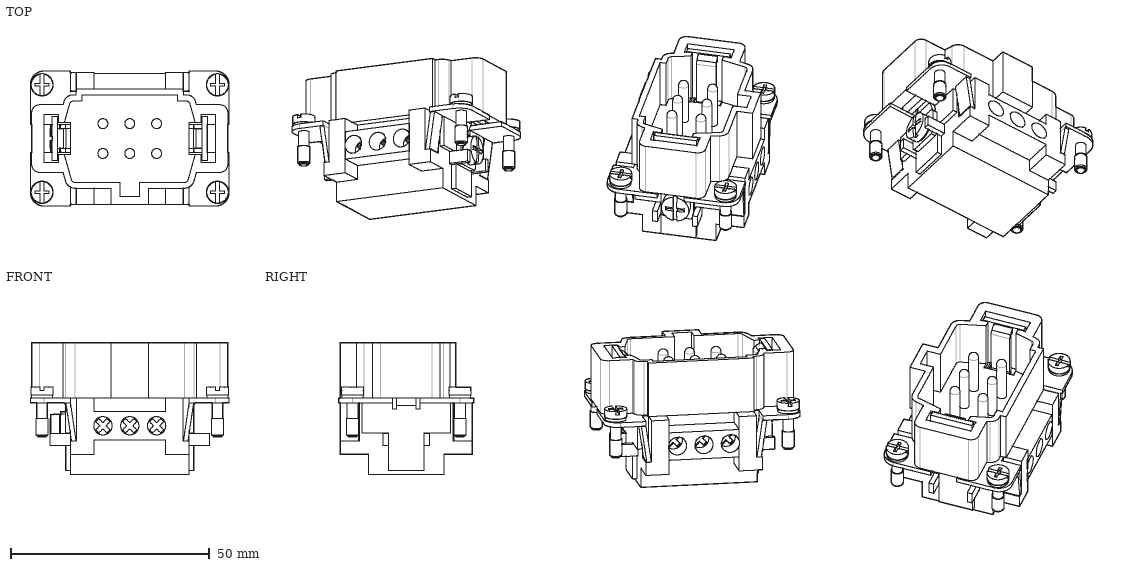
import cadquery as cq
import math


CUT = 0.5
CORNER_TOLERANCE = 0.005

flange_length = 50.0
flange_width = 34.0
flange_thickness = 1.2
flange_corner_radius = 3.5
end_notch_half = 3.5

body_half_length = 14.9
body_half_width = 16.6
core_half_width = 9.5
body_bottom = -19.2
wing_bottom = -14.15
rear_setback = 0.2
relief_half_length = 8.95
upper_relief_floor = -3.4
lower_relief_top = -10.55

pad_face_x = 16.1
pad_half_width = 11.15
pad_bottom = -8.75
stem_half_width = 4.5
stem_bottom = -18.25
prong_tip_x = 20.05
prong_outer_y = 5.8
prong_top = -8.85
prong_bottom = -11.95
foot_recess_bottom = -2.75

pocket_inner_x = 13.4
pocket_inner_y = 11.8
pocket_bottom = -10.75
leg_inner_y = 12.0
leg_outer_y = 16.55
leg_width_x = 1.15
leg_tip_x = 13.5

shell_height = 13.95
floor_height = 1.05
end_half_length = 24.65
end_half_width = 8.5
end_corner_radius = 2.0
shoulder_x = 16.75
side_slope = 0.28
front_y = 12.5
front_corner_radius = 2.5
rear_shoulder_y = 10.95
rear_corner_radius = 2.25
rear_ledge_half_length = 13.5
key_half_length = 4.65

cavity_end_x = 16.45
cavity_end_y = 4.0
cavity_front_y = 11.05
cavity_rear_y = 9.4
cavity_corner_radius = 1.0
ledge_pocket_half_length = 12.0
ledge_pocket_y = 10.95
key_slot_half_length = 2.5
key_slot_y = 14.6

slot_inner_x = 17.95
slot_outer_x = 21.5
slot_half_width = 6.0
clip_inner_x = 18.15
clip_outer_x = 19.5
clip_half_width = 5.5
leaf_half_width = 2.5
leaf_inner_x = 16.0
leaf_thickness = 1.0
hook_base_z = 11.95
hook_shoulder_x = 16.6
hook_shoulder_z = 12.8
hook_top = 13.65
hook_bulge = 0.15
hook_outer_z = 12.45
foot_bend_z = -1.9
foot_slope = 0.45

pole_pitch = 6.75
pin_y = 3.75
pin_radius = 1.25
pin_top = 12.9
terminal_radius = 2.3
terminal_z = -6.95
terminal_depth = 6.0
terminal_slot_width = 1.1
terminal_slot_length = 4.0
terminal_slot_depth = 0.75

screw_x = 22.05
screw_y = 13.5
washer_radius = 2.65
washer_height = 0.75
head_radius = 2.8
head_top = 2.75
shank_radius = 1.35
thread_radius = 1.55
thread_top = -5.1
thread_bottom = -9.25
tip_radius = 1.05
tip_bottom = -9.8
thread_chamfer = 0.25
long_slot_width = 0.9
short_slot_width = 0.7
short_slot_length = 3.5
slot_depth = 0.85

earth_z = -7.6
clamp_size = 8.4
clamp_chamfer = 0.6
clamp_face_x = 17.35
earth_seat_x = 17.6
earth_rim_x = 19.85
earth_head_x = 20.1
earth_head_radius = 3.55
earth_neck_radius = 3.25
earth_slot_width = 0.95
earth_short_slot_length = 4.8


def box(x0, x1, y0, y1, z0, z1):
    return cq.Workplane("XY").box(x1 - x0, y1 - y0, z1 - z0, centered=False).translate((x0, y0, z0))


def both_ends(solid):
    return solid.union(solid.mirror("YZ"))


def both_sides(solid):
    return solid.union(solid.mirror("XZ"))


def mirrored_outline(half):
    """Closed outline from its +X half, listed from front to rear."""
    return half + [(-x, y) for x, y in reversed(half)]


def prism(points, bottom, top):
    return cq.Workplane("XY").workplane(offset=bottom).polyline(points).close().extrude(top - bottom)


def round_edges(solid, corners, radius):
    """Fillet the vertical edges that stand at the given (|x|, y) corners."""
    picked = []
    for edge in solid.edges("|Z").vals():
        center = edge.Center()
        if any(math.hypot(abs(center.x) - x, center.y - y) < CORNER_TOLERANCE for x, y in corners):
            picked.append(edge)
    return solid.newObject(picked).fillet(radius)


def make_flange():
    plate = cq.Workplane("XY").box(flange_length, flange_width, flange_thickness)
    plate = plate.edges("|Z").fillet(flange_corner_radius)
    plate = plate.translate((0, 0, -flange_thickness / 2))
    half_length = flange_length / 2 + CUT
    plate = plate.cut(both_ends(box(
        body_half_length, half_length, -end_notch_half, end_notch_half, -flange_thickness - CUT, CUT)))
    return plate.cut(box(
        -body_half_length, body_half_length, -flange_width, flange_width, -flange_thickness - CUT, CUT))


def make_body():
    body = box(-body_half_length, body_half_length, -body_half_width, body_half_width, wing_bottom, 0)
    body = body.union(box(
        -body_half_length, body_half_length, -core_half_width, core_half_width, body_bottom, 0))
    for z0, z1 in ((upper_relief_floor, 0), (wing_bottom, lower_relief_top)):
        body = body.cut(both_sides(box(
            -relief_half_length, relief_half_length, core_half_width, body_half_width, z0, z1)))
    body = body.cut(box(
        -relief_half_length, relief_half_length, body_half_width - rear_setback, body_half_width,
        wing_bottom, 0))
    pocket = box(
        pocket_inner_x, body_half_length, pocket_inner_y, body_half_width, pocket_bottom, 0)
    return body.cut(both_ends(both_sides(pocket)))


def make_end_pads():
    pad = box(body_half_length, pad_face_x, -pad_half_width, pad_half_width, pad_bottom, 0)
    pad = pad.union(box(
        body_half_length, pad_face_x, -stem_half_width, stem_half_width, stem_bottom, 0))
    pad = pad.cut(box(
        body_half_length, pad_face_x, -end_notch_half, end_notch_half, foot_recess_bottom, 0))
    prong = box(body_half_length, prong_tip_x, stem_half_width, prong_outer_y, prong_bottom, prong_top)
    return both_ends(pad.union(both_sides(prong)))


def make_legs():
    """Flange strips bent down and inward beside the four body corners."""
    leg = (
        cq.Workplane("XZ")
        .polyline([
            (body_half_length, 0), (body_half_length + leg_width_x, 0),
            (body_half_length + leg_width_x, -flange_thickness),
            (leg_tip_x + leg_width_x, pocket_bottom), (leg_tip_x, pocket_bottom),
            (body_half_length, -flange_thickness),
        ])
        .close()
        .extrude(-(leg_outer_y - leg_inner_y))
        .translate((0, leg_inner_y, 0))
    )
    return both_ends(both_sides(leg))


def make_shell():
    front_corner = (shoulder_x - side_slope * (front_y - end_half_width), -front_y)
    rear_corner = (shoulder_x - side_slope * (rear_shoulder_y - end_half_width), rear_shoulder_y)
    end_corners = [(end_half_length, -end_half_width), (end_half_length, end_half_width)]
    outline = mirrored_outline([
        (key_half_length, -body_half_width), (key_half_length, -front_y), front_corner,
        (shoulder_x, -end_half_width), *end_corners, (shoulder_x, end_half_width), rear_corner,
        (rear_ledge_half_length, rear_shoulder_y), (rear_ledge_half_length, front_y),
    ])
    shell = prism(outline, 0, shell_height)
    shell = round_edges(shell, end_corners, end_corner_radius)
    shell = round_edges(shell, [front_corner], front_corner_radius)
    return round_edges(shell, [rear_corner], rear_corner_radius)


def make_cavity():
    front_corner = (cavity_end_x - side_slope * (cavity_front_y - cavity_end_y), -cavity_front_y)
    rear_corner = (cavity_end_x - side_slope * (cavity_rear_y - cavity_end_y), cavity_rear_y)
    outline = mirrored_outline([
        (key_slot_half_length, -key_slot_y), (key_slot_half_length, -cavity_front_y), front_corner,
        (cavity_end_x, -cavity_end_y), (cavity_end_x, cavity_end_y), rear_corner,
        (ledge_pocket_half_length, cavity_rear_y), (ledge_pocket_half_length, ledge_pocket_y),
    ])
    cavity = prism(outline, floor_height, shell_height + CUT)
    return round_edges(cavity, [front_corner, rear_corner], cavity_corner_radius)


def make_end_slots():
    top = shell_height + CUT
    slot = box(slot_inner_x, slot_outer_x, -slot_half_width, slot_half_width, 0, top)
    channel = box(body_half_length, slot_inner_x, -cavity_end_y, cavity_end_y, 0, top)
    return both_ends(slot.union(channel))


def make_clips():
    """Upright latch plate joined by a hook to a spring leaf, whose slanted foot sits in the end pad."""
    plate = box(clip_inner_x, clip_outer_x, -clip_half_width, clip_half_width, 0, shell_height)
    leaf_outer_x = leaf_inner_x + leaf_thickness
    foot_rise_inner = (leaf_inner_x - body_half_length) / foot_slope
    foot_rise_outer = (leaf_outer_x - pad_face_x) / foot_slope
    leaf = (
        cq.Workplane("XZ")
        .moveTo(body_half_length, foot_recess_bottom)
        .lineTo(body_half_length, foot_bend_z)
        .lineTo(leaf_inner_x, foot_bend_z + foot_rise_inner)
        .lineTo(leaf_inner_x, hook_base_z)
        .sagittaArc((hook_shoulder_x, hook_shoulder_z), hook_bulge)
        .sagittaArc((clip_inner_x, hook_top), hook_bulge)
        .lineTo(clip_inner_x, hook_outer_z)
        .lineTo(leaf_outer_x, hook_outer_z)
        .lineTo(leaf_outer_x, foot_bend_z + foot_rise_outer)
        .lineTo(pad_face_x, foot_bend_z)
        .lineTo(pad_face_x, foot_recess_bottom)
        .close()
        .extrude(leaf_half_width, both=True)
    )
    return both_ends(plate.union(leaf))


def make_pins():
    pin = cq.Workplane("XY").circle(pin_radius).extrude(pin_top - pin_radius)
    pin = pin.union(cq.Workplane("XY").sphere(pin_radius).translate((0, 0, pin_top - pin_radius)))
    pins = cq.Workplane("XY")
    for column in (-1, 0, 1):
        for y in (-pin_y, pin_y):
            pins = pins.add(pin.translate((column * pole_pitch, y, 0)))
    return pins.combine()


def make_terminal_holes():
    """Blind wire-screw holes on both long sides, with crossed driver slots at the bottom."""
    hole = cq.Workplane("XZ").circle(terminal_radius).extrude(terminal_depth)
    for angle in (45, 135):
        driver_slot = (
            cq.Workplane("XZ")
            .rect(terminal_slot_length, terminal_slot_width)
            .extrude(-terminal_slot_depth)
            .rotate((0, 0, 0), (0, 1, 0), angle)
        )
        hole = hole.union(driver_slot)
    hole_bottom_y = terminal_depth - body_half_width
    holes = cq.Workplane("XY")
    for column in (-1, 0, 1):
        holes = holes.add(hole.translate((column * pole_pitch, hole_bottom_y, terminal_z)))
    return both_sides(holes.combine())


def make_flange_screws():
    screw = (
        cq.Workplane("XZ")
        .polyline([
            (0, head_top), (head_radius, head_top), (head_radius, washer_height),
            (washer_radius, washer_height), (washer_radius, 0), (shank_radius, 0),
            (shank_radius, thread_top), (thread_radius, thread_top),
            (thread_radius, thread_bottom), (thread_radius - thread_chamfer, thread_bottom - thread_chamfer),
            (tip_radius, thread_bottom - thread_chamfer), (tip_radius, tip_bottom), (0, tip_bottom),
        ])
        .close()
        .revolve(360, (0, 0, 0), (0, 1, 0))
    )
    cross = cq.Workplane("XY").rect(long_slot_width, 2 * head_radius + CUT).extrude(slot_depth)
    cross = cross.union(cq.Workplane("XY").rect(short_slot_length, short_slot_width).extrude(slot_depth))
    screw = screw.cut(cross.translate((0, 0, head_top - slot_depth)))
    return both_ends(both_sides(screw.translate((screw_x, screw_y, 0))))


def make_earth_screw():
    clamp = cq.Workplane("YZ").rect(clamp_size, clamp_size).extrude(-(clamp_face_x - pad_face_x))
    clamp = clamp.edges("|X").chamfer(clamp_chamfer)
    seat_x = pad_face_x - earth_seat_x
    rim_x = pad_face_x - earth_rim_x
    crown_x = pad_face_x - earth_head_x
    dome_rise = rim_x - crown_x
    dome_radius = (earth_head_radius ** 2 + dome_rise ** 2) / (2 * dome_rise)
    half_chord = earth_head_radius / 2
    half_chord_x = crown_x + dome_radius - math.sqrt(dome_radius ** 2 - half_chord ** 2)
    head = (
        cq.Workplane("XY")
        .moveTo(0, 0)
        .lineTo(0, earth_neck_radius)
        .lineTo(seat_x, earth_neck_radius)
        .lineTo(seat_x, earth_head_radius)
        .lineTo(rim_x, earth_head_radius)
        .threePointArc((half_chord_x, half_chord), (crown_x, 0))
        .close()
        .revolve(360, (0, 0, 0), (1, 0, 0))
    )
    cross = cq.Workplane("YZ").rect(earth_slot_width, 2 * earth_head_radius + CUT).extrude(slot_depth)
    cross = cross.union(
        cq.Workplane("YZ").rect(earth_short_slot_length, earth_slot_width).extrude(slot_depth))
    head = head.cut(cross.translate((crown_x, 0, 0)))
    return clamp.union(head).translate((-pad_face_x, 0, earth_z))


insert = make_body().union(make_end_pads()).union(make_flange()).union(make_legs())
insert = insert.cut(make_terminal_holes())
shell = make_shell().cut(make_cavity()).cut(make_end_slots())
result = insert.union(shell).union(make_clips()).union(make_pins())
result = result.union(make_flange_screws()).union(make_earth_screw())